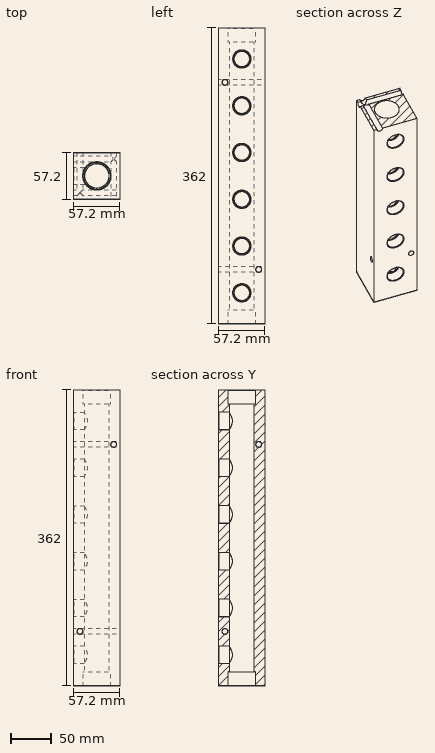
import cadquery as cq

length = 362.0
width = 57.2

bore_diameter = 29.5
end_port_diameter = 33.3
end_port_depth = 17.0
end_chamfer = 0.7

outlet_count = 6
outlet_pitch = width
outlet_diameter = 19.0
outlet_port_diameter = 21.0
outlet_port_depth = 13.5
outlet_chamfer = 0.7

mount_diameter = 7.0
mount_offset = 20.5
mount_height = (outlet_count - 2) / 2 * outlet_pitch


def drill(start, direction, diameter, depth):
    """Cylinder of the given depth running from start along direction."""
    return cq.Solid.makeCylinder(diameter / 2, depth, cq.Vector(*start), cq.Vector(*direction))


def port(start, direction, diameter, depth, chamfer):
    """Flat-bottomed port with a 45 degree chamfer at its mouth."""
    radius = diameter / 2
    mouth = cq.Solid.makeCone(radius + chamfer, radius, chamfer, cq.Vector(*start), cq.Vector(*direction))
    return drill(start, direction, diameter, depth).fuse(mouth)


result = cq.Workplane("XY").box(width, width, length)

result = result.cut(drill((0, 0, -length / 2), (0, 0, 1), bore_diameter, length))
for side in (-1, 1):
    end_center = (0, 0, side * length / 2)
    result = result.cut(port(end_center, (0, 0, -side), end_port_diameter, end_port_depth, end_chamfer))

for index in range(outlet_count):
    height = (index - (outlet_count - 1) / 2) * outlet_pitch
    outlet_center = (-width / 2, 0, height)
    inward = (1, 0, 0)
    result = result.cut(drill(outlet_center, inward, outlet_diameter, width / 2))
    result = result.cut(
        port(outlet_center, inward, outlet_port_diameter, outlet_port_depth, outlet_chamfer)
    )

for side in (-1, 1):
    offset = side * mount_offset
    height = side * mount_height
    result = result.cut(drill((-width / 2, offset, height), (1, 0, 0), mount_diameter, width))
    result = result.cut(drill((offset, -width / 2, height), (0, 1, 0), mount_diameter, width))